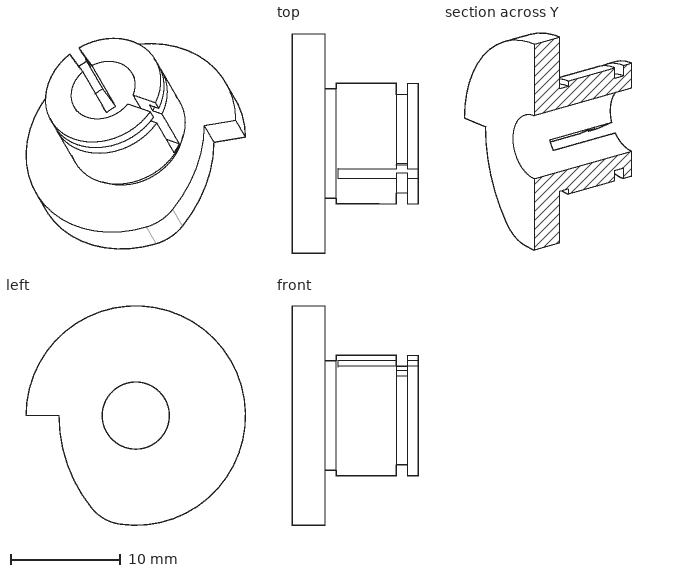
import cadquery as cq
import math

FLANGE_END = 3.0
NECK_END = 4.0
SLOT_START = 4.2
GROOVE_START = 9.5
GROOVE_END = 10.5
TOTAL_LENGTH = 11.5

FLANGE_RADIUS = 10.0
NECK_RADIUS = 5.0
HUB_RADIUS = 5.5
GROOVE_RADIUS = 4.5
BORE_RADIUS = 3.05

STEP_DEPTH = 3.0
RELIEF_RADIUS = 13.4
RELIEF_BLEND_RADIUS = 4.0

SLOT_WIDTH = 1.0
SLOT_ANGLES = (30.0, 240.0)


def cylinder(radius, start, end):
    """Solid cylinder on the X axis between two axial stations."""
    return cq.Workplane("YZ").workplane(offset=start).circle(radius).extrude(end - start)


def make_flange():
    """Round flange with a radial step, whose relief arc blends back into the rim."""
    rim = cylinder(FLANGE_RADIUS, 0, FLANGE_END)
    step_y = FLANGE_RADIUS - STEP_DEPTH
    relief_center_y = step_y - RELIEF_RADIUS
    inside_relief = cylinder(RELIEF_RADIUS, 0, FLANGE_END).translate((0, relief_center_y, 0))
    quarter = cq.Workplane("XY").box(
        FLANGE_END, FLANGE_RADIUS, FLANGE_RADIUS, centered=False
    ).translate((0, 0, -FLANGE_RADIUS))
    flange = rim.cut(quarter.cut(inside_relief))

    corner_y = (RELIEF_RADIUS**2 - FLANGE_RADIUS**2 - relief_center_y**2) / (-2 * relief_center_y)
    corner_z = -math.sqrt(FLANGE_RADIUS**2 - corner_y**2)
    corner = cq.selectors.NearestToPointSelector((FLANGE_END / 2, corner_y, corner_z))
    return flange.edges("|X").edges(corner).fillet(RELIEF_BLEND_RADIUS)


def make_hub():
    """Stepped hub: neck, main journal, retaining groove and end lip."""
    neck = cylinder(NECK_RADIUS, FLANGE_END, NECK_END)
    journal = cylinder(HUB_RADIUS, NECK_END, GROOVE_START)
    groove_floor = cylinder(GROOVE_RADIUS, GROOVE_START, GROOVE_END)
    lip = cylinder(HUB_RADIUS, GROOVE_END, TOTAL_LENGTH)
    return neck.union(journal).union(groove_floor).union(lip)


def make_slot(angle):
    """Slot cutter running from the axis past the hub wall, open at the free end of the hub."""
    slot = cq.Workplane("XY").box(
        TOTAL_LENGTH - SLOT_START, SLOT_WIDTH, FLANGE_RADIUS, centered=(False, True, False)
    )
    return slot.translate((SLOT_START, 0, 0)).rotate((0, 0, 0), (1, 0, 0), angle)


result = make_flange().union(make_hub())
result = result.cut(cylinder(BORE_RADIUS, 0, TOTAL_LENGTH))
for slot_angle in SLOT_ANGLES:
    result = result.cut(make_slot(slot_angle))